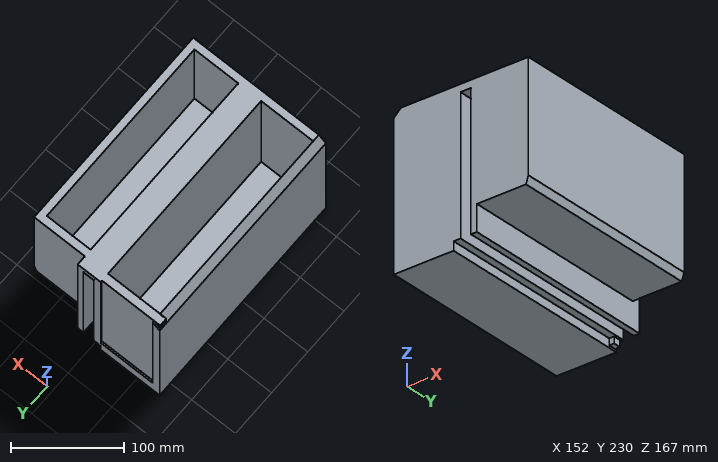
import cadquery as cq

width = 152.0
length = 230.0
height = 167.0
wall = 8.0

left_inner_end = 67.6
slot_start = 75.5
step_height = 9.7
rim_bevel_width = 8.0
rim_bevel_drop = 7.4
left_floor_top = step_height + wall

slot_end = 87.2
lip_end = 93.8
slot_top = height - 8.5

right_bottom = 38.2
right_back = 220.0
corner_bevel_width = 2.8
corner_bevel_height = 8.3

panel_start = 1.0
panel_end = 73.1
panel_bottom = 2.5
panel_front = 219.6
panel_back = 228.2


def block(x0, x1, y0, y1, z0, z1):
    """Box between two opposite corners."""
    return cq.Workplane("XY").box(x1 - x0, y1 - y0, z1 - z0, centered=False).translate((x0, y0, z0))


def profile(points, depth):
    """Outline in X and Z, extruded from the front face toward +Y."""
    return cq.Workplane("XZ").polyline(points).close().extrude(-depth)


body = profile(
    [
        (0, 0),
        (left_inner_end, 0),
        (left_inner_end, step_height),
        (slot_start, step_height),
        (slot_start, slot_top),
        (slot_end, slot_top),
        (slot_end, step_height),
        (lip_end, step_height),
        (lip_end, height),
        (rim_bevel_width, height),
        (0, height - rim_bevel_drop),
    ],
    length,
)

right_bin = profile(
    [
        (slot_end, right_bottom),
        (width - corner_bevel_width, right_bottom),
        (width, right_bottom + corner_bevel_height),
        (width, height),
        (slot_end, height),
    ],
    right_back,
)
body = body.union(right_bin)

left_pocket = block(rim_bevel_width, left_inner_end, wall, length, left_floor_top, height)
right_pocket = block(
    lip_end, width - wall, wall, right_back - wall, right_bottom + wall, height
)
body = body.cut(left_pocket).cut(right_pocket)

panel = block(panel_start, panel_end, panel_front, panel_back, panel_bottom, height)
result = body.union(panel)